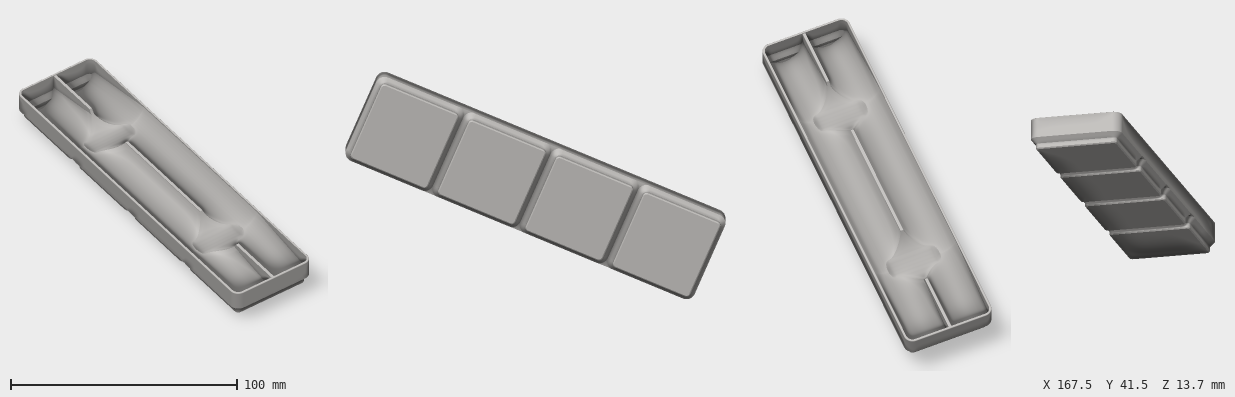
import cadquery as cq
import math

LENGTH = 167.5
WIDTH = 41.5
HEIGHT = 13.7
CORNER_RADIUS = 4.0

CELL_COUNT = 4
CELL_GAP = 0.5
PITCH = (LENGTH + CELL_GAP) / CELL_COUNT
FOOT_HEIGHT = 5.0
FOOT_TOE_CHAMFER = 0.5
FOOT_FLARE = 2.5
FOOT_CORNER_RADIUS = CORNER_RADIUS + CELL_GAP / 2

WALL = 1.0
RIM_FILLET = 0.3
STEP = 2.2
STEP_TOP = 5.4
CAVITY_FLOOR = 0.5
CAVITY_TOE_CHAMFER = 0.7

RIDGE_WIDTH = 1.3
RIDGE_DROP = 0.3
TROUGH_RADIUS = 10.2
TROUGH_FLOOR = 6.5
TROUGH_SLOPE = math.radians(9.3)
BEND_X = 43.4

POCKET_X = PITCH
POCKET_RADIUS = 15.7
POCKET_FLOOR = 5.5
POCKET_STRAIGHT = 19.8
POCKET_END_FILLET = 3.2


def rounded_block(length, width, radius, bottom, top):
    """Upright block with rounded vertical corners, centred on the Z axis."""
    block = cq.Workplane("XY").workplane(offset=bottom).rect(length, width)
    return block.extrude(top - bottom).edges("|Z").fillet(radius)


def make_foot():
    """Foot with a chamfered toe, an upright stem and a flared top."""
    stem_side = PITCH - 2 * FOOT_FLARE
    stem_top = FOOT_HEIGHT - FOOT_FLARE
    stem = rounded_block(stem_side, stem_side, FOOT_CORNER_RADIUS - FOOT_FLARE, 0, stem_top)
    stem = stem.faces("<Z").edges().chamfer(FOOT_TOE_CHAMFER)
    flare = rounded_block(PITCH, PITCH, FOOT_CORNER_RADIUS, stem_top, HEIGHT)
    flare = flare.faces("<Z").edges().chamfer(FOOT_FLARE)
    below_body = cq.Workplane("XY").box(PITCH, PITCH, FOOT_HEIGHT, centered=(True, True, False))
    return stem.union(flare.intersect(below_body))


def make_body():
    """Solid block on its row of feet, trimmed to the outer outline."""
    body = rounded_block(LENGTH, WIDTH, CORNER_RADIUS, FOOT_HEIGHT, HEIGHT)
    foot = make_foot()
    for cell in range(CELL_COUNT):
        foot_x = (cell - (CELL_COUNT - 1) / 2) * PITCH
        body = body.union(foot.translate((foot_x, 0, 0)))
    body = body.intersect(rounded_block(LENGTH, WIDTH, CORNER_RADIUS, 0, HEIGHT))
    return body.faces(">Z").edges().fillet(RIM_FILLET)


def make_envelope():
    """Largest space the cavity may fill, stepped inwards at 45 degrees to follow the feet."""
    length = LENGTH - 2 * WALL
    width = WIDTH - 2 * WALL
    radius = CORNER_RADIUS - WALL
    step_bottom = STEP_TOP - STEP
    upper = rounded_block(length, width, radius, step_bottom, HEIGHT)
    upper = upper.faces("<Z").edges().chamfer(STEP)
    lower = rounded_block(length - 2 * STEP, width - 2 * STEP, radius - STEP, CAVITY_FLOOR, step_bottom)
    lower = lower.faces("<Z").edges().chamfer(CAVITY_TOE_CHAMFER)
    return upper.union(lower)


def make_trough(side):
    """Round-bottomed channel on one side of the ridge, bent down beyond BEND_X."""
    inner_y = RIDGE_WIDTH / 2
    outer_y = WIDTH / 2 - WALL
    middle_y = side * (inner_y + outer_y) / 2
    axis_z = TROUGH_FLOOR + TROUGH_RADIUS
    end_x = LENGTH / 2 + TROUGH_RADIUS
    end_z = axis_z - (end_x - BEND_X) * math.tan(TROUGH_SLOPE)

    path = (
        cq.Workplane("XZ")
        .moveTo(-end_x, end_z)
        .lineTo(-BEND_X, axis_z)
        .lineTo(BEND_X, axis_z)
        .lineTo(end_x, end_z)
    )
    uphill = (math.cos(TROUGH_SLOPE), 0, math.sin(TROUGH_SLOPE))
    section_plane = cq.Plane(origin=(-end_x, 0, end_z), xDir=(0, 1, 0), normal=uphill)
    section = (
        cq.Workplane(section_plane)
        .moveTo(-TROUGH_RADIUS, 0)
        .threePointArc((0, -TROUGH_RADIUS), (TROUGH_RADIUS, 0))
        .lineTo(TROUGH_RADIUS, HEIGHT)
        .lineTo(-TROUGH_RADIUS, HEIGHT)
        .close()
    )
    trough = section.sweep(path, transition="right")
    channel = cq.Workplane("XY").box(LENGTH, outer_y - inner_y, 2 * HEIGHT)
    return trough.intersect(channel).translate((0, middle_y, 0))


def make_ridge_relief():
    """Thin cut that lowers the ridge top below the rim."""
    relief = cq.Workplane("XY").workplane(offset=HEIGHT - RIDGE_DROP)
    return relief.rect(LENGTH - 2 * WALL, 2 * RIDGE_WIDTH).extrude(RIDGE_DROP)


def make_pocket(x):
    """Finger pocket: cylinder along Y with rounded ends."""
    half_length = POCKET_STRAIGHT / 2 + POCKET_END_FILLET
    pocket = cq.Workplane("XZ").circle(POCKET_RADIUS).extrude(half_length, both=True)
    pocket = pocket.faces("<Y or >Y").edges().fillet(POCKET_END_FILLET)
    return pocket.translate((x, 0, POCKET_FLOOR + POCKET_RADIUS))


troughs = make_trough(-1).union(make_trough(1))
result = make_body().cut(troughs.intersect(make_envelope())).cut(make_ridge_relief())
for pocket_x in (-POCKET_X, POCKET_X):
    result = result.cut(make_pocket(pocket_x))